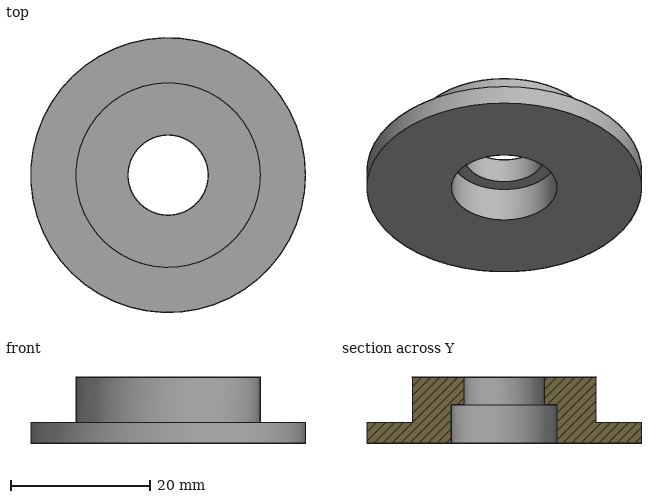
import cadquery as cq

flange_diameter = 39.5
flange_thickness = 3.0
boss_diameter = 26.5
total_height = 9.5

hole_diameter = 11.5
counterbore_diameter = 15.15
lip_thickness = 4.0
counterbore_depth = total_height - lip_thickness


def cylinder(diameter, height):
    """Upright cylinder on the base plane."""
    return cq.Workplane("XY").circle(diameter / 2).extrude(height)


flange = cylinder(flange_diameter, flange_thickness)
boss = cylinder(boss_diameter, total_height)
through_hole = cylinder(hole_diameter, total_height)
counterbore = cylinder(counterbore_diameter, counterbore_depth)

result = flange.union(boss).cut(through_hole).cut(counterbore)